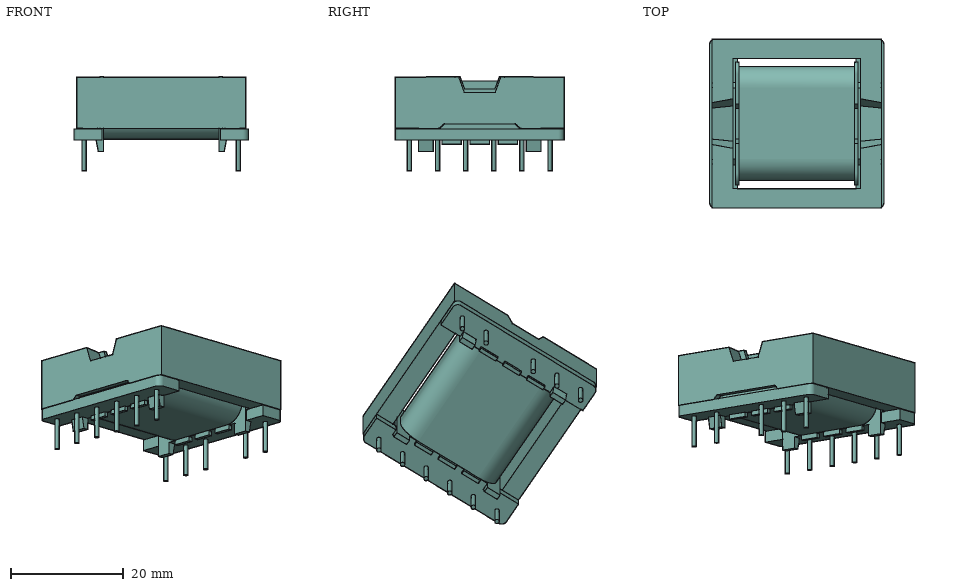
import cadquery as cq

CORE_SIDE = 30.0
WINDOW_X = 22.57
WINDOW_Y = 23.05
CORE_BOTTOM = 7.55
CORE_HEIGHT = 9.08
CORE_TOP = CORE_BOTTOM + CORE_HEIGHT
CORE_OUTER_X = CORE_SIDE / 2
CORE_INNER_X = WINDOW_X / 2

NOTCH_OUTER_HALF = 3.72
NOTCH_OUTER_FLOOR_HALF = 2.75
NOTCH_OUTER_DEPTH = 2.7
NOTCH_INNER_HALF = 4.4
NOTCH_INNER_FLOOR_HALF = 3.13
NOTCH_INNER_DEPTH = 3.4

UNDERCUT_ROOF_HALF = 6.4
UNDERCUT_OUTER_HEIGHT = 0.78
UNDERCUT_INNER_HEIGHT = 1.02

BOBBIN_LENGTH = 31.0
CLEARANCE = 0.1
PLATE_THICKNESS = 1.98
PLATE_TOP = CORE_BOTTOM - CLEARANCE
PLATE_BOTTOM = PLATE_TOP - PLATE_THICKNESS
PLATE_OUTER_X = BOBBIN_LENGTH / 2
PLATE_INNER_X = 10.5
PLATE_CORNER_RADIUS = 1.02
BLOCK_SETBACK = 1.0

FLANGE_INNER_X = 10.23
FLANGE_THICKNESS = 0.68
FLANGE_OUTER_X = FLANGE_INNER_X + FLANGE_THICKNESS
FLANGE_WIDTH = 21.82
FLANGE_TOP = 16.8
FLANGE_CORNER_RADIUS = 2.05
FLANGE_NOTCH_HALF = 3.5
FLANGE_NOTCH_FLOOR_HALF = 2.7
FLANGE_NOTCH_FLOOR = 14.57

WINDING_WIDTH = 20.27
WINDING_BOTTOM = 5.58
WINDING_TOP = 15.95
WINDING_CORNER_RADIUS = 3.8

PIN_DIAMETER = 0.8
PIN_X = 13.67
PIN_PITCH = 5.0
PIN_COUNT = 6
PIN_MISSING = 3

TAB_WIDTH = 3.5
TAB_HEIGHT = 0.78
TAB_POSITIONS = (-PIN_PITCH, 0, PIN_PITCH)

LEG_WIDTH = 2.7
LEG_HEIGHT = 2.05
LEG_ROOT_X = 11.6
LEG_TIP_X = 11.2


def box(x_range, y_range, z_range):
    """Axis-aligned box between the given limits."""
    sizes = [high - low for low, high in (x_range, y_range, z_range)]
    corner = (x_range[0], y_range[0], z_range[0])
    return cq.Workplane("XY").box(*sizes, centered=False).translate(corner)


def trapezoid_bar(start, end):
    """Solid between two trapezoids, each (x, z1, half width at z1, z2, half width at z2)."""
    wires = []
    for x, z1, half1, z2, half2 in (start, end):
        corners = [(x, -half1, z1), (x, half1, z1), (x, half2, z2), (x, -half2, z2)]
        wires.append(cq.Wire.makePolygon([cq.Vector(*corner) for corner in corners], close=True))
    return cq.Workplane(cq.Solid.makeLoft(wires, True))


def on_both_ends(shape):
    """The +X shape together with its mirror image at -X."""
    return shape.union(shape.mirror("YZ"))


def top_notch():
    outer = (CORE_OUTER_X, CORE_TOP, NOTCH_OUTER_HALF,
             CORE_TOP - NOTCH_OUTER_DEPTH, NOTCH_OUTER_FLOOR_HALF)
    inner = (CORE_INNER_X, CORE_TOP, NOTCH_INNER_HALF,
             CORE_TOP - NOTCH_INNER_DEPTH, NOTCH_INNER_FLOOR_HALF)
    return trapezoid_bar(inner, outer)


def undercut_section(x, gap=0.0):
    """Section of the bottom notch at x, drawn in at the sides and lowered by the gap."""
    taper = (x - CORE_INNER_X) / (CORE_OUTER_X - CORE_INNER_X)
    height = UNDERCUT_INNER_HEIGHT + taper * (UNDERCUT_OUTER_HEIGHT - UNDERCUT_INNER_HEIGHT)
    roof_half = UNDERCUT_ROOF_HALF - gap
    bottom = CORE_BOTTOM - gap
    return (x, bottom, roof_half + height, bottom + height, roof_half)


def make_core():
    core = cq.Workplane("XY").rect(CORE_SIDE, CORE_SIDE).rect(WINDOW_X, WINDOW_Y)
    core = core.extrude(CORE_HEIGHT).translate((0, 0, CORE_BOTTOM))
    undercut = trapezoid_bar(undercut_section(CORE_INNER_X), undercut_section(CORE_OUTER_X))
    return core.cut(on_both_ends(top_notch())).cut(on_both_ends(undercut))


def end_plate():
    """Plate below the core, with a block standing on it inside the core's bottom notch."""
    half_side = CORE_SIDE / 2
    plate = box((PLATE_INNER_X, PLATE_OUTER_X), (-half_side, half_side), (PLATE_BOTTOM, PLATE_TOP))
    plate = plate.edges("|Z and >X").fillet(PLATE_CORNER_RADIUS)
    block_outer = CORE_OUTER_X - BLOCK_SETBACK
    block = trapezoid_bar(undercut_section(FLANGE_INNER_X, CLEARANCE),
                          undercut_section(block_outer, CLEARANCE))
    return plate.union(block)


def flange():
    half_width = FLANGE_WIDTH / 2
    wall = box((FLANGE_INNER_X, FLANGE_OUTER_X), (-half_width, half_width), (PLATE_BOTTOM, FLANGE_TOP))
    wall = wall.edges("|X and >Z").fillet(FLANGE_CORNER_RADIUS)
    notch_end = (FLANGE_TOP, FLANGE_NOTCH_HALF, FLANGE_NOTCH_FLOOR, FLANGE_NOTCH_FLOOR_HALF)
    wall = wall.cut(trapezoid_bar((FLANGE_INNER_X, *notch_end), (FLANGE_OUTER_X, *notch_end)))
    for y in TAB_POSITIONS:
        tab = box((FLANGE_INNER_X, FLANGE_OUTER_X), (y - TAB_WIDTH / 2, y + TAB_WIDTH / 2),
                  (PLATE_BOTTOM - TAB_HEIGHT, PLATE_BOTTOM))
        wall = wall.union(tab)
    return wall


def legs():
    """Pair of legs under one end plate, flush with the ends of the flange, outer faces tapered."""
    tip = PLATE_BOTTOM - LEG_HEIGHT
    outline = [(FLANGE_INNER_X, PLATE_BOTTOM), (LEG_ROOT_X, PLATE_BOTTOM),
               (LEG_TIP_X, tip), (FLANGE_INNER_X, tip)]
    leg = cq.Workplane("XZ", origin=(0, FLANGE_WIDTH / 2, 0)).polyline(outline).close().extrude(LEG_WIDTH)
    return leg.union(leg.mirror("XZ"))


def winding():
    height = WINDING_TOP - WINDING_BOTTOM
    coil = cq.Workplane("XY").box(2 * FLANGE_INNER_X, WINDING_WIDTH, height)
    coil = coil.edges("|X").fillet(WINDING_CORNER_RADIUS)
    return coil.translate((0, 0, WINDING_BOTTOM + height / 2))


def pins():
    first_y = -PIN_PITCH * (PIN_COUNT - 1) / 2
    right_row = [(PIN_X, first_y + i * PIN_PITCH) for i in range(PIN_COUNT)]
    left_row = [(-x, y) for i, (x, y) in enumerate(right_row) if i != PIN_MISSING]
    return cq.Workplane("XY").pushPoints(right_row + left_row).circle(PIN_DIAMETER / 2).extrude(PLATE_BOTTOM)


def make_bobbin():
    end = end_plate().union(flange()).union(legs())
    return on_both_ends(end).union(winding()).union(pins())


core = make_core()
bobbin = make_bobbin()

result = cq.Compound.makeCompound([core.solids().val(), bobbin.solids().val()])